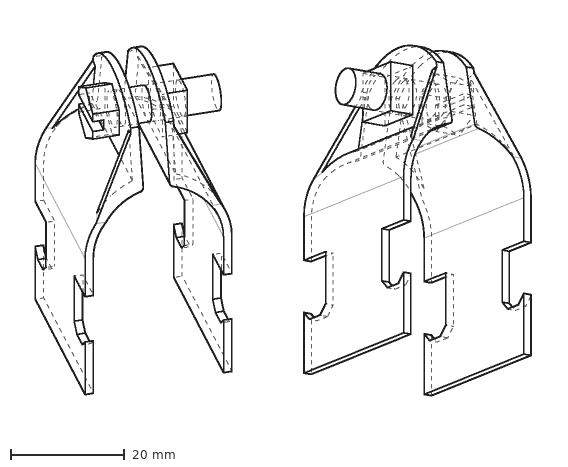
import cadquery as cq
import math

height = 57.15
half_width = 15.9
sheet = 1.55
bend_inner_radius = 11.9
bend_outer_radius = bend_inner_radius + sheet
bend_center_z = 28.6
ear_inner_y = 2.4
ear_outer_y = ear_inner_y + sheet
ear_corner_round = 0.8

shoulder_half_width = 11.9
shoulder_z = 51.85
taper_bottom_z = 35.65

flap_top_z = 50.9

notch_top_z = 20.6
notch_floor_z = 9.45
notch_inner_x = 9.0
notch_chamfer_x = 1.8
notch_chamfer_z = 1.65

bolt_z = 48.35
bolt_radius = 3.25
bolt_end_y = 15.15
head_across_flats = 9.1
head_outer_y = 8.75
slot_width = 2.05
slot_depth = 2.0
nut_side = 8.9
nut_outer_y = 8.6


def y_prism(sketch, y_start, y_end):
    """Extrude an XZ sketch, drawn at Y = 0, between two Y positions."""
    return sketch.extrude(y_start - y_end).translate((0, y_start, 0))


def bolt_axis_sketch():
    return cq.Workplane("XZ").center(0, bolt_z)


def point_on_bend(radius, y):
    return y, bend_center_z + math.sqrt(radius**2 - y**2)


def bent_sheet():
    """Straight leg, bend about the X axis direction and upright ear."""
    inner_corner = point_on_bend(bend_inner_radius, ear_inner_y)
    inner_middle = point_on_bend(bend_inner_radius, bend_inner_radius * math.sin(math.pi / 4))
    outer_corner = point_on_bend(bend_outer_radius, ear_outer_y)
    outer_middle = point_on_bend(bend_outer_radius, bend_outer_radius * math.sin(math.pi / 4))
    blank = (
        cq.Workplane("YZ")
        .moveTo(bend_inner_radius, 0)
        .lineTo(bend_outer_radius, 0)
        .lineTo(bend_outer_radius, bend_center_z)
        .threePointArc(outer_middle, outer_corner)
        .lineTo(ear_outer_y, height)
        .lineTo(ear_inner_y, height)
        .lineTo(*inner_corner)
        .threePointArc(inner_middle, (bend_inner_radius, bend_center_z))
        .close()
        .extrude(half_width, both=True)
    )
    corner_edge = cq.selectors.NearestToPointSelector((0, *inner_corner))
    return blank.edges(corner_edge).fillet(ear_corner_round)


def front_outline():
    """Full-depth prism of the rounded and tapered clamp outline."""
    sketch = (
        cq.Workplane("XZ")
        .moveTo(-half_width, 0)
        .lineTo(half_width, 0)
        .lineTo(half_width, taper_bottom_z)
        .lineTo(shoulder_half_width, shoulder_z)
        .threePointArc((0, height), (-shoulder_half_width, shoulder_z))
        .lineTo(-half_width, taper_bottom_z)
        .close()
    )
    return y_prism(sketch, 0, bend_outer_radius)


def side_notch():
    """Notch open to +X, with chamfered lower corners."""
    chamfer_top_z = notch_floor_z + notch_chamfer_z
    sketch = cq.Workplane("XZ").polyline([
        (notch_inner_x, notch_top_z),
        (notch_inner_x, chamfer_top_z),
        (notch_inner_x + notch_chamfer_x, notch_floor_z),
        (half_width - notch_chamfer_x, notch_floor_z),
        (half_width, chamfer_top_z),
        (half_width, notch_top_z),
    ]).close()
    return y_prism(sketch, 0, bend_outer_radius)


def side_flap():
    """Triangular flap flush with the tapered edge on the +X side."""
    taper_run = half_width - shoulder_half_width
    taper_drop = shoulder_z - taper_bottom_z
    stretch = math.hypot(taper_run, taper_drop) / taper_drop
    foot_y = math.sqrt(bend_outer_radius**2 - (taper_bottom_z - bend_center_z)**2)
    corner_y, corner_z = point_on_bend(bend_outer_radius, ear_outer_y)
    triangle = [(ear_outer_y, flap_top_z), (foot_y, taper_bottom_z), (corner_y, corner_z)]
    flap_plane = cq.Plane(
        origin=(shoulder_half_width, 0, shoulder_z),
        xDir=(0, 1, 0),
        normal=(taper_drop, 0, taper_run),
    )
    points = [(y, (z - shoulder_z) * stretch) for y, z in triangle]
    return cq.Workplane(flap_plane).polyline(points).close().extrude(-sheet)


def make_clamp_half():
    """Clamp half on the +Y side."""
    clamp = bent_sheet().intersect(front_outline())
    for flap in (side_flap(), side_flap().mirror("YZ")):
        clamp = clamp.union(flap)
    for notch in (side_notch(), side_notch().mirror("YZ")):
        clamp = clamp.cut(notch)
    bolt_hole = y_prism(bolt_axis_sketch().circle(bolt_radius), 0, bend_outer_radius)
    return clamp.cut(bolt_hole)


def make_bolt():
    """Slotted hex-head bolt with its head on the -Y side."""
    head_diameter = head_across_flats / math.cos(math.pi / 6)
    hexagon = bolt_axis_sketch().transformed(rotate=(0, 0, 90)).polygon(6, head_diameter)
    head = y_prism(hexagon, -head_outer_y, -ear_outer_y)
    slot = y_prism(
        bolt_axis_sketch().rect(head_diameter, slot_width), -head_outer_y, slot_depth - head_outer_y
    )
    shank = y_prism(bolt_axis_sketch().circle(bolt_radius), -ear_outer_y, bolt_end_y)
    return head.cut(slot).union(shank)


def make_nut():
    """Square nut seated on the +Y ear."""
    profile = bolt_axis_sketch().rect(nut_side, nut_side).circle(bolt_radius)
    return y_prism(profile, ear_outer_y, nut_outer_y)


rear_half = make_clamp_half()
clamp_halves = [rear_half, rear_half.mirror("XZ")]
bolt = make_bolt()
nut = make_nut()

result = cq.Compound.makeCompound([*(half.val() for half in clamp_halves), bolt.val(), nut.val()])